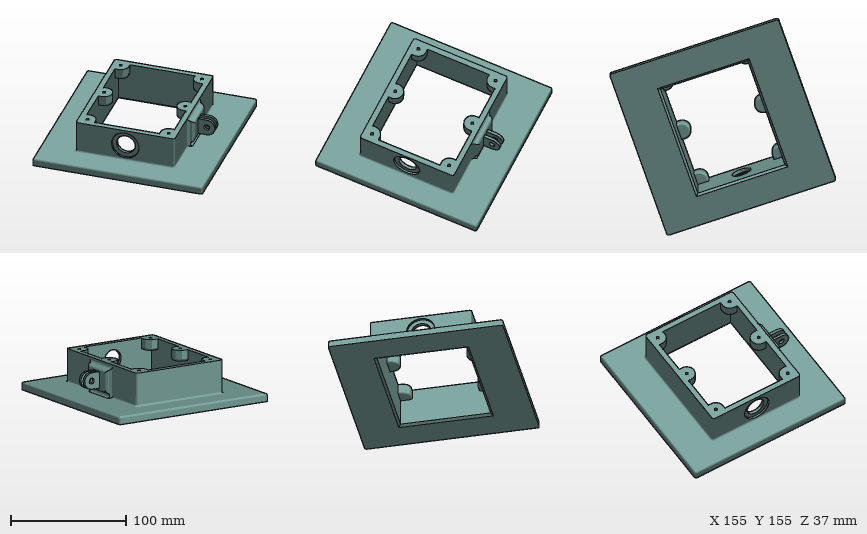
import cadquery as cq
import math

PLATE_SIDE = 155.0
PLATE_HEIGHT = 7.0
EDGE_RADIUS = 2.0

BOX_X = 90.0
BOX_Y = 110.0
TOTAL_HEIGHT = 37.0
CAVITY_X = 80.0
CAVITY_Y = 100.0
WALL = (BOX_X - CAVITY_X) / 2
BOX_SIDE_X = BOX_X / 2
UNDERSIDE_CHAMFER = 2.0

BOSS_RADIUS = 7.5
BOSS_HEIGHT = 10.0
BOSS_ROUNDING = 2.0
BOSS_X = 37.0
BOSS_Y = 47.0
SCREW_DIAMETER = 2.5
SCREW_DEPTH = 8.0

OPENING_Z = (PLATE_HEIGHT + TOTAL_HEIGHT) / 2
OPENING_DIAMETER = 17.0
COUNTERBORE_DIAMETER = 25.0
COUNTERBORE_DEPTH = 2.0

PAD_HALF_Y = 15.3
PAD_HALF_Z = 10.5
PAD_THICKNESS = 5.0
FLANK_RADIUS = 3.5
FLANK_MIDDLE = PAD_THICKNESS / 2
FLANK_RISE = math.sqrt(FLANK_RADIUS**2 - (FLANK_RADIUS - FLANK_MIDDLE) ** 2)
HINGE_Z = 21.5
PAD_MIDDLE_X = BOX_SIDE_X + FLANK_MIDDLE
PAD_FACE_X = BOX_SIDE_X + PAD_THICKNESS
PAD_ROOT_X = BOX_SIDE_X - WALL / 2

WEB_NECK = 1.9
WEB_FOOT = 3.4

LUG_RADIUS = 7.5
LUG_REACH = 7.9
LUG_THICKNESS = 2.5
LUG_GAP = 3.4
LUG_HOLE_DIAMETER = 5.0

TOLERANCE = 0.2


def block(x, y, z, bottom=0.0):
    """Block centred on the Z axis, starting at the height `bottom`."""
    return cq.Workplane("XY").workplane(offset=bottom).box(x, y, z, centered=(True, True, False))


def edges_near(solid, low, high):
    """Edges whose centres lie between two corner points, with a small margin."""
    low = [value - TOLERANCE for value in low]
    high = [value + TOLERANCE for value in high]
    return solid.edges(cq.selectors.BoxSelector(low, high))


def make_outer_shape():
    """Plate and solid box with rounded edges and a fillet where they meet."""
    plate = block(PLATE_SIDE, PLATE_SIDE, PLATE_HEIGHT)
    plate = plate.edges("|Z").fillet(EDGE_RADIUS).faces(">Z").edges().fillet(EDGE_RADIUS)
    box = block(BOX_X, BOX_Y, TOTAL_HEIGHT).edges("|Z").fillet(EDGE_RADIUS)
    shape = plate.union(box)
    foot_low = (-BOX_SIDE_X, -BOX_Y / 2, PLATE_HEIGHT)
    foot_high = (BOX_SIDE_X, BOX_Y / 2, PLATE_HEIGHT)
    return edges_near(shape, foot_low, foot_high).fillet(EDGE_RADIUS)


def make_hinge_pad():
    """Pad and web: an upright outline along Y, trimmed by a plan outline along Z."""
    half_y_wall = PAD_HALF_Y + FLANK_RISE
    half_y_face = PAD_HALF_Y - FLANK_RISE
    top_z = HINGE_Z + PAD_HALF_Z
    bottom_z = HINGE_Z - PAD_HALF_Z
    upright = (
        cq.Workplane("XZ")
        .moveTo(PAD_ROOT_X, top_z + FLANK_RISE)
        .lineTo(BOX_SIDE_X, top_z + FLANK_RISE)
        .radiusArc((PAD_MIDDLE_X, top_z), -FLANK_RADIUS)
        .radiusArc((PAD_FACE_X, top_z - FLANK_RISE), FLANK_RADIUS)
        .lineTo(PAD_FACE_X, bottom_z + FLANK_RISE)
        .radiusArc((PAD_MIDDLE_X, bottom_z), FLANK_RADIUS)
        .threePointArc(
            (BOX_SIDE_X + WEB_NECK, (PLATE_HEIGHT + bottom_z) / 2),
            (BOX_SIDE_X + WEB_FOOT, PLATE_HEIGHT),
        )
        .lineTo(PAD_ROOT_X, PLATE_HEIGHT)
        .close()
        .extrude(half_y_wall, both=True)
    )
    plan = (
        cq.Workplane("XY")
        .moveTo(PAD_ROOT_X, half_y_wall)
        .lineTo(BOX_SIDE_X, half_y_wall)
        .radiusArc((PAD_MIDDLE_X, PAD_HALF_Y), -FLANK_RADIUS)
        .radiusArc((PAD_FACE_X, half_y_face), FLANK_RADIUS)
        .lineTo(PAD_FACE_X, -half_y_face)
        .radiusArc((PAD_MIDDLE_X, -PAD_HALF_Y), FLANK_RADIUS)
        .radiusArc((BOX_SIDE_X, -half_y_wall), -FLANK_RADIUS)
        .lineTo(PAD_ROOT_X, -half_y_wall)
        .close()
        .extrude(TOTAL_HEIGHT)
    )
    return upright.intersect(plan)


def make_boss(side_x, y):
    """Boss round about its screw hole, running on into the walls it stands against."""
    bottom = TOTAL_HEIGHT - BOSS_HEIGHT
    width = 2 * BOSS_RADIUS
    end_x = CAVITY_X / 2 + WALL / 2
    end_y = CAVITY_Y / 2 + WALL / 2
    run_x = end_x - BOSS_X
    run_y = end_y - BOSS_Y
    x = side_x * BOSS_X
    boss = cq.Workplane("XY", origin=(x, y, bottom)).circle(BOSS_RADIUS).extrude(BOSS_HEIGHT)
    to_side_wall = block(run_x, width, BOSS_HEIGHT, bottom)
    boss = boss.union(to_side_wall.translate((x + side_x * run_x / 2, y, 0)))
    if y != 0:
        to_end_wall = block(width, run_y, BOSS_HEIGHT, bottom)
        boss = boss.union(to_end_wall.translate((x, y + math.copysign(run_y / 2, y), 0)))
    boss = boss.clean().faces("<Z").edges().fillet(BOSS_ROUNDING)
    return boss.intersect(block(2 * end_x, 2 * end_y, TOTAL_HEIGHT))


def make_housing():
    """Plate, box, bosses and hinge pad with all holes."""
    housing = make_outer_shape().union(make_hinge_pad())
    housing = housing.cut(block(CAVITY_X, CAVITY_Y, TOTAL_HEIGHT))
    rim_low = (-CAVITY_X / 2, -CAVITY_Y / 2, 0)
    rim_high = (CAVITY_X / 2, CAVITY_Y / 2, 0)
    housing = edges_near(housing, rim_low, rim_high).chamfer(UNDERSIDE_CHAMFER)
    screw_points = [(side_x, y) for side_x in (-1, 1) for y in (-BOSS_Y, 0, BOSS_Y)]
    for side_x, y in screw_points:
        housing = housing.union(make_boss(side_x, y))
    screw_holes = (
        cq.Workplane("XY")
        .workplane(offset=TOTAL_HEIGHT - SCREW_DEPTH)
        .pushPoints([(side_x * BOSS_X, y) for side_x, y in screw_points])
        .circle(SCREW_DIAMETER / 2)
        .extrude(SCREW_DEPTH)
    )
    wall_face = cq.Workplane("XZ", origin=(0, -BOX_Y / 2, OPENING_Z))
    opening = wall_face.circle(OPENING_DIAMETER / 2).extrude(-2 * WALL)
    counterbore = wall_face.circle(COUNTERBORE_DIAMETER / 2).extrude(-COUNTERBORE_DEPTH)
    return housing.cut(screw_holes).cut(opening).cut(counterbore)


def make_lug(y):
    """Upright lug with a round end and a pin hole, standing on the pad face."""
    return (
        cq.Workplane("XZ", origin=(PAD_FACE_X, y + LUG_THICKNESS / 2, HINGE_Z))
        .moveTo(0, -LUG_RADIUS)
        .lineTo(LUG_REACH, -LUG_RADIUS)
        .threePointArc((LUG_REACH + LUG_RADIUS, 0), (LUG_REACH, LUG_RADIUS))
        .lineTo(0, LUG_RADIUS)
        .close()
        .moveTo(LUG_REACH, 0)
        .circle(LUG_HOLE_DIAMETER / 2)
        .extrude(LUG_THICKNESS)
    )


housing = make_housing()
lug_offset = (LUG_GAP + LUG_THICKNESS) / 2
lugs = [make_lug(side * lug_offset) for side in (-1, 1)]

result = cq.Compound.makeCompound([housing.val(), *[lug.val() for lug in lugs]])